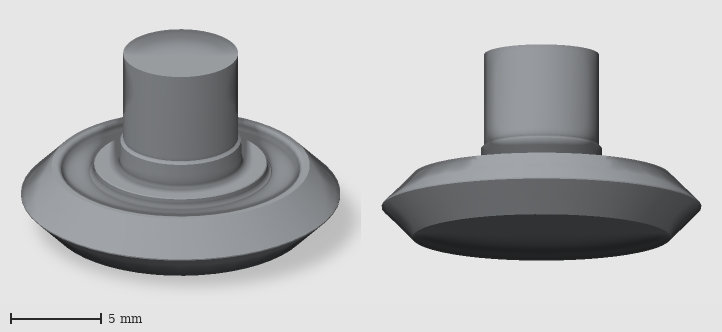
import cadquery as cq
import math

outer_radius = 8.85
roller_height = 3.47
edge_height = 0.07
bevel_size = (roller_height - edge_height) / 2
face_radius = outer_radius - bevel_size
recess_depth = 0.4
recess_radius = 6.88
recess_floor_radius = 6.33
floor_height = roller_height - recess_depth

total_height = 10.28
shaft_radius = 3.18
hub_radius = 5.06
hub_chamfer = 0.05
flange_radius = 4.8
flange_top = 3.63
flange_chamfer = 0.05
fillet_base = floor_height + hub_chamfer
flange_fillet = hub_radius - hub_chamfer - flange_radius
collar_bottom_radius = 3.4
collar_top_radius = 3.35
collar_top = 5.0
collar_fillet = 0.2
shoulder_size = collar_top_radius - shaft_radius

ARC_MID = 1 - math.sqrt(0.5)


def revolve_profile(profile):
    """Turn a closed half-section (radius, height) about the Z axis."""
    return profile.close().revolve(360, (0, 0, 0), (0, 1, 0))


def make_roller():
    wall_width = recess_radius - recess_floor_radius
    middle = (recess_radius - wall_width / 2, roller_height - recess_depth / 2)
    half_width = wall_width / 2
    half_depth = recess_depth / 2
    arc_radius = (half_width**2 + half_depth**2) / (2 * half_depth)
    half_angle = math.atan2(half_depth, half_width)
    arc_run = arc_radius * math.sin(half_angle)
    arc_drop = arc_radius * (1 - math.cos(half_angle))
    profile = (
        cq.Workplane("XZ")
        .moveTo(hub_radius, 0)
        .lineTo(face_radius, 0)
        .lineTo(outer_radius, bevel_size)
        .lineTo(outer_radius, bevel_size + edge_height)
        .lineTo(face_radius, roller_height)
        .lineTo(recess_radius, roller_height)
        .threePointArc((recess_radius - arc_run, roller_height - arc_drop), middle)
        .threePointArc(
            (recess_floor_radius + arc_run, floor_height + arc_drop),
            (recess_floor_radius, floor_height),
        )
        .lineTo(hub_radius, floor_height)
    )
    return revolve_profile(profile)


def make_pin():
    profile = (
        cq.Workplane("XZ")
        .lineTo(hub_radius, 0)
        .lineTo(hub_radius, floor_height)
        .lineTo(flange_radius + flange_fillet, fillet_base)
        .threePointArc(
            (flange_radius + ARC_MID * flange_fillet, fillet_base + ARC_MID * flange_fillet),
            (flange_radius, fillet_base + flange_fillet),
        )
        .lineTo(flange_radius, flange_top - flange_chamfer)
        .lineTo(flange_radius - flange_chamfer, flange_top)
        .lineTo(collar_bottom_radius + collar_fillet, flange_top)
        .threePointArc(
            (collar_bottom_radius + ARC_MID * collar_fillet, flange_top + ARC_MID * collar_fillet),
            (collar_bottom_radius, flange_top + collar_fillet),
        )
        .lineTo(collar_top_radius, collar_top)
        .lineTo(shaft_radius, collar_top + shoulder_size)
        .lineTo(shaft_radius, total_height)
        .lineTo(0, total_height)
    )
    return revolve_profile(profile)


roller = make_roller()
pin = make_pin()
result = cq.Compound.makeCompound([roller.val(), pin.val()])